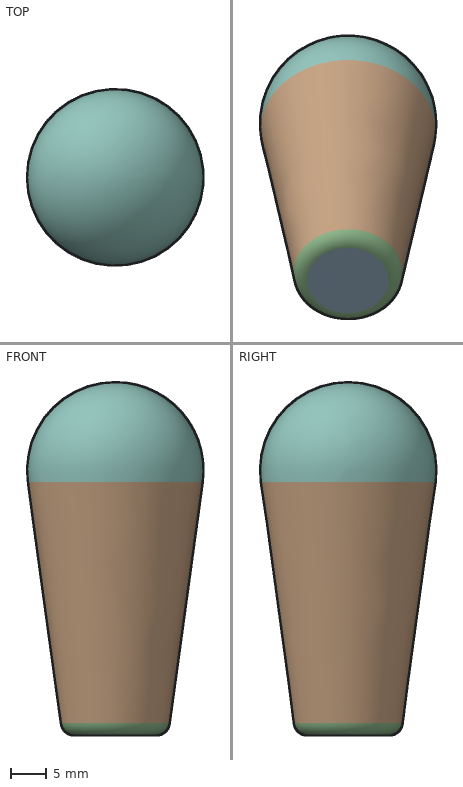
import cadquery as cq
import math

height = 50.0
ball_radius = 12.5
taper_angle = math.radians(7.8)
edge_radius = 2.0

ball_center_z = height - ball_radius
normal_x = math.cos(taper_angle)
normal_z = -math.sin(taper_angle)
ball_tangent = (ball_radius * normal_x, ball_center_z + ball_radius * normal_z)
edge_tangent_z = edge_radius * (1 + normal_z)
edge_tangent_x = ball_tangent[0] - (ball_tangent[1] - edge_tangent_z) * math.tan(taper_angle)
edge_center_x = edge_tangent_x - edge_radius * normal_x

edge_mid_angle = (math.pi / 2 + taper_angle) / 2
edge_mid = (
    edge_center_x + edge_radius * math.cos(edge_mid_angle),
    edge_radius * (1 - math.sin(edge_mid_angle)),
)

ball_mid_angle = (math.pi / 2 - taper_angle) / 2
ball_mid = (
    ball_radius * math.cos(ball_mid_angle),
    ball_center_z + ball_radius * math.sin(ball_mid_angle),
)

result = (
    cq.Workplane("XZ")
    .lineTo(edge_center_x, 0)
    .threePointArc(edge_mid, (edge_tangent_x, edge_tangent_z))
    .lineTo(*ball_tangent)
    .threePointArc(ball_mid, (0, height))
    .close()
    .revolve(360, (0, 0), (0, 1))
)